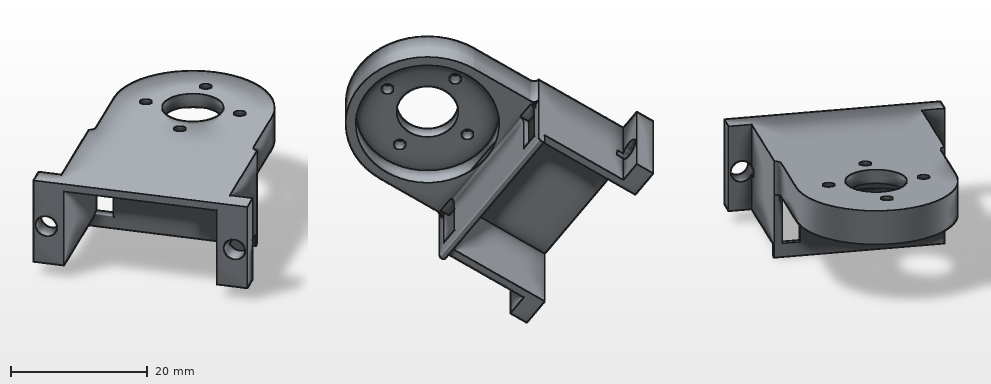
import cadquery as cq
import math

flange_width = 32.5
total_length = 41.0
total_height = 15.38
body_height = 13.35

flange_depth = 2.95
body_width = 25.6
cavity_width = 23.2
roof_thickness = 1.2
wall_back = 18.05
wall_thickness = 1.05
wall_front = wall_back - wall_thickness

head_radius = 11.992
head_height = 5.3
head_center = total_length - head_radius
motor_recess_diameter = 21.0
motor_plate_thickness = 2.17
shaft_hole_diameter = 9.0
screw_hole_diameter = 1.75
screw_circle_radius = 7.15
fillet_radius = 1.0

bolt_diameter = 3.25
bolt_spacing = 28.58
bolt_depth = 4.0
bolt_z = -7.25
window_top = -5.37
window_inner_x = 8.9
window_rounding = 0.33
window_bottom = window_rounding - body_height


def block(x0, x1, y0, y1, z0, z1):
    """Axis-aligned box between two opposite corners."""
    return cq.Workplane("XY").box(x1 - x0, y1 - y0, z1 - z0, centered=False).translate((x0, y0, z0))


def centered_block(width, y0, y1, z0, z1):
    """Box symmetric about the YZ plane."""
    return block(-width / 2, width / 2, y0, y1, z0, z1)


def make_body():
    """Flange and box-shaped body, with a cavity open at the front, rear and below."""
    flange = centered_block(flange_width, 0, flange_depth, -body_height, 0)
    box = centered_block(body_width, 0, wall_back, -body_height, 0)
    cavity = centered_block(cavity_width, 0, wall_back, -body_height, -roof_thickness)
    return flange.union(box).cut(cavity)


def window(side):
    """Cutter for the opening through the rear wall beside one side of the cavity."""
    inner = side * window_inner_x
    outer = side * cavity_width / 2
    return block(
        min(inner, outer), max(inner, outer),
        wall_front, wall_back + fillet_radius, window_bottom, window_top,
    )


def make_rear_wall():
    """Rear wall with a rounded lower lip and two windows whose front edges are rounded.

    The rounding along each window's outer edge lies inside the body's solid side walls.
    """
    lip_radius = wall_thickness / 2
    lip_z = lip_radius - total_height
    wall = centered_block(body_width, wall_front, wall_back, lip_z, 0)
    for side in (-1, 1):
        wall = wall.cut(window(side))
    front_edges = cq.selectors.BoxSelector(
        (-body_width / 2 + window_rounding, wall_front - window_rounding, lip_z + window_rounding),
        (body_width / 2 - window_rounding, wall_front + window_rounding, -window_rounding),
    )
    wall = wall.edges("|X or |Z").edges(front_edges).fillet(window_rounding)
    lip = (
        cq.Workplane("YZ")
        .center(wall_back - lip_radius, lip_z)
        .circle(lip_radius)
        .extrude(body_width / 2, both=True)
    )
    return wall.union(lip)


def make_head():
    """Solid round-ended head reaching forward to the back of the rear wall."""
    disc = cq.Workplane("XY").center(0, head_center).circle(head_radius).extrude(-head_height)
    neck = centered_block(2 * head_radius, wall_back, head_center, -head_height, 0)
    return disc.union(neck)


def side_fillet(side):
    """Concave vertical fillet between the head's side and the body's rear corner."""
    step = body_width / 2 - head_radius
    rise = math.sqrt(fillet_radius**2 - (fillet_radius - step) ** 2)
    tangent_y = wall_back + fillet_radius
    corner_y = tangent_y - rise
    mid_angle = math.acos((fillet_radius - step) / fillet_radius) / 2
    mid_x = head_radius + fillet_radius * (1 - math.cos(mid_angle))
    mid_y = tangent_y - fillet_radius * math.sin(mid_angle)
    return (
        cq.Workplane("XY")
        .moveTo(side * head_radius, wall_back)
        .lineTo(side * head_radius, tangent_y)
        .threePointArc((side * mid_x, mid_y), (side * body_width / 2, corner_y))
        .lineTo(side * body_width / 2, wall_back)
        .close()
        .extrude(-head_height)
    )


def underside_fillet():
    """Concave fillet between the head's underside and the rear wall, interrupted by the windows."""
    corner = centered_block(
        2 * head_radius, wall_back, wall_back + fillet_radius, -head_height - fillet_radius, -head_height
    )
    round_cut = (
        cq.Workplane("YZ")
        .center(wall_back + fillet_radius, -head_height - fillet_radius)
        .circle(fillet_radius)
        .extrude(head_radius, both=True)
    )
    return corner.cut(round_cut).cut(window(-1)).cut(window(1))


def motor_holes():
    """Recess under the head, shaft hole and four screw holes."""
    head_plane = cq.Workplane("XY").center(0, head_center)
    shaft = head_plane.circle(shaft_hole_diameter / 2).extrude(-head_height)
    screws = (
        head_plane.polarArray(screw_circle_radius, 0, 360, 4)
        .circle(screw_hole_diameter / 2)
        .extrude(-head_height)
    )
    recess = (
        cq.Workplane("XY", origin=(0, head_center, -head_height))
        .circle(motor_recess_diameter / 2)
        .extrude(head_height - motor_plate_thickness)
    )
    return shaft.union(screws).union(recess)


def bolt_holes():
    """Blind holes through the flange that graze the body's side walls."""
    return (
        cq.Workplane("XZ")
        .pushPoints([(-bolt_spacing / 2, bolt_z), (bolt_spacing / 2, bolt_z)])
        .circle(bolt_diameter / 2)
        .extrude(-bolt_depth)
    )


result = make_body().union(make_rear_wall()).union(make_head()).union(underside_fillet())
for side in (-1, 1):
    result = result.union(side_fillet(side))
result = result.cut(motor_holes()).cut(bolt_holes())